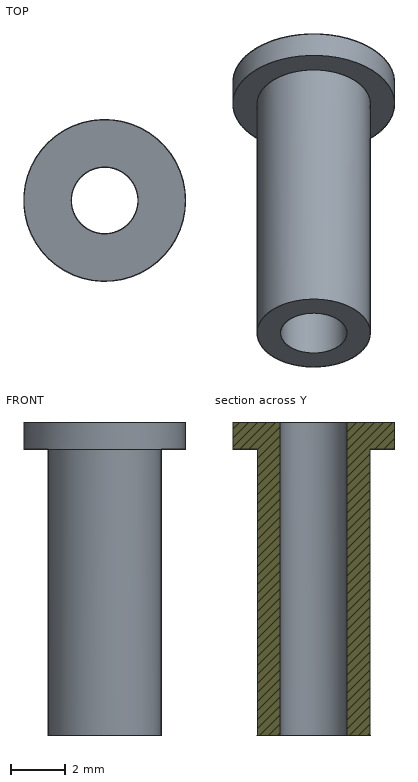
import cadquery as cq

total_length = 11.6
flange_diameter = 6.0
flange_thickness = 1.0
sleeve_diameter = 4.2
bore_diameter = 2.46

bottom_z = -total_length / 2
sleeve_length = total_length - flange_thickness

sleeve = cq.Workplane("XY").workplane(offset=bottom_z).circle(sleeve_diameter / 2).extrude(sleeve_length)

flanged_sleeve = sleeve.faces(">Z").workplane().circle(flange_diameter / 2).extrude(flange_thickness)

result = flanged_sleeve.faces(">Z").workplane().hole(bore_diameter)